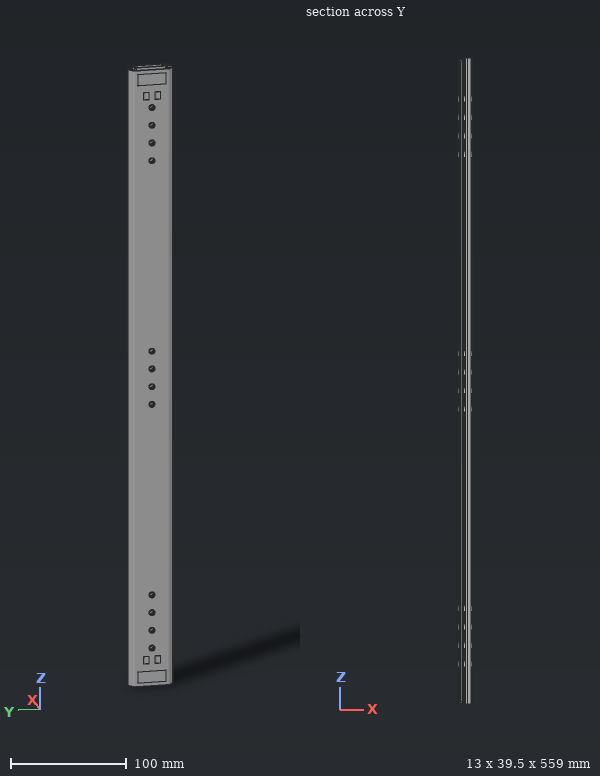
import cadquery as cq
import math


depth = 13.0
width = 39.5
rail_length = 559.0
channel_length = 557.0
sheet = 1.4
front_x = -depth / 2
rear_x = depth / 2

web_half_width = 14.5
corner_radius = 3.0
flank_angle = math.radians(54)
race_radius = 5.3
race_x = 0.5
race_y = width / 2 - race_radius
lip_y = 18.0

middle_half_width = web_half_width
middle_flange_x = -2.5
middle_web_x = -1.4

inner_half_width = 12.5
inner_leg_x = 1.95

cage_length = 553.5
cage_sheet = 0.5
cage_x = -4.75
bead_radius = 3.5

hole_diameter = 5.0
group_span = 48.0
holes_per_group = 4
hole_pitch = group_span / (holes_per_group - 1)
group_pitch = 220.0

stop_width = 25.0
stop_length = 10.0
stop_z = 270.0

notch_radius = 3.1
notch_depth = 1.0
notch_length = 6.5
notch_y = 5.0
notch_z = 255.0


def block(x_min, x_max, half_width, length, z_center=0.0):
    """Box symmetric in Y, centred on z_center."""
    box = cq.Workplane().box(x_max - x_min, 2 * half_width, length)
    return box.translate(((x_min + x_max) / 2, 0, z_center))


def point_on_arc(center, radius, angle):
    """Point at an angle measured from -X toward +Y."""
    return (center[0] - radius * math.cos(angle), center[1] + radius * math.sin(angle))


def channel_region(inset):
    """Solid bar inside the channel outline moved inward, reaching to the rear side."""
    corner_center = (front_x + corner_radius, web_half_width)
    race_center = (race_x, race_y)
    corner_r = corner_radius - inset
    race_r = race_radius - inset
    lip = lip_y - inset
    race_end_x = race_x + math.sqrt(race_r**2 - (lip - race_y) ** 2)

    web_end = point_on_arc(corner_center, corner_r, 0)
    corner_mid = point_on_arc(corner_center, corner_r, flank_angle / 2)
    flank_start = point_on_arc(corner_center, corner_r, flank_angle)
    race_start = point_on_arc(race_center, race_r, flank_angle)
    race_top = (race_x, race_y + race_r)

    half = (
        cq.Workplane()
        .workplane(offset=-channel_length / 2)
        .moveTo(web_end[0], 0)
        .lineTo(*web_end)
        .threePointArc(corner_mid, flank_start)
        .lineTo(*race_start)
        .threePointArc(race_top, (race_end_x, lip))
        .lineTo(rear_x, lip)
        .lineTo(rear_x, 0)
        .close()
        .extrude(channel_length)
    )
    return half.union(half.mirror("XZ")).clean()


def mounting_holes():
    positions = []
    for group in (-1, 0, 1):
        for index in range(holes_per_group):
            offset = index - (holes_per_group - 1) / 2
            positions.append((0, group * group_pitch + offset * hole_pitch))
    plane = cq.Workplane("YZ").workplane(offset=front_x)
    return plane.pushPoints(positions).circle(hole_diameter / 2).extrude(depth)


def end_stop(side):
    return block(front_x, front_x + sheet, stop_width / 2, stop_length, side * stop_z)


def notch(side, y):
    """Cylinder along Z that cuts a shallow trough in the outer web."""
    axis_x = front_x + notch_depth - notch_radius
    cylinder = cq.Workplane().circle(notch_radius).extrude(notch_length)
    return cylinder.translate((axis_x, y, side * notch_z - notch_length / 2))


def outer_channel():
    body = channel_region(0).cut(channel_region(sheet)).cut(mounting_holes())
    for side in (-1, 1):
        body = body.cut(end_stop(side))
        for y in (-notch_y, notch_y):
            body = body.cut(notch(side, y))
    return body


def ball_cage():
    sheet_bar = block(cage_x, race_x, middle_half_width + cage_sheet, cage_length)
    beads = (
        cq.Workplane()
        .workplane(offset=-cage_length / 2)
        .pushPoints([(race_x, -race_y), (race_x, race_y)])
        .circle(bead_radius)
        .extrude(cage_length)
    )
    opening = block(cage_x + cage_sheet, rear_x, middle_half_width, cage_length)
    return sheet_bar.union(beads).cut(opening).cut(mounting_holes())


def middle_rail():
    web_back_x = middle_web_x + sheet
    flange_gap = middle_half_width - sheet
    body = block(middle_flange_x, rear_x, middle_half_width, rail_length)
    body = body.cut(block(middle_flange_x, middle_web_x, flange_gap, rail_length))
    body = body.cut(block(web_back_x, rear_x, flange_gap, rail_length))
    return body.cut(mounting_holes())


def inner_rail():
    body = block(inner_leg_x, rear_x, inner_half_width, rail_length)
    hollow = block(inner_leg_x, rear_x - sheet, inner_half_width - sheet, rail_length)
    return body.cut(hollow).cut(mounting_holes())


channel = outer_channel()
cage = ball_cage()
middle = middle_rail()
inner = inner_rail()
stops = [end_stop(side) for side in (-1, 1)]

result = cq.Compound.makeCompound(
    [
        channel.val(),
        cage.val(),
        middle.val(),
        inner.val(),
        *[stop.val() for stop in stops],
    ]
)